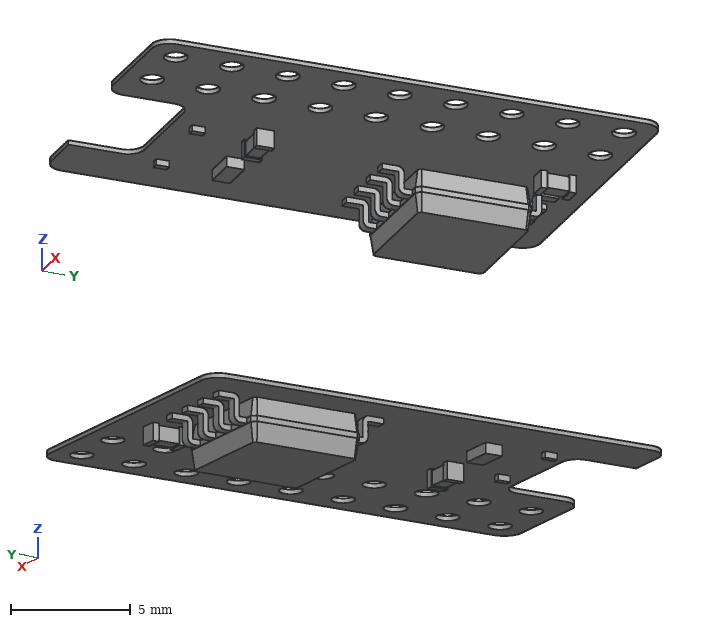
import cadquery as cq

board_width = 14.04
board_length = 22.85
board_thickness = 0.2
board_corner_radius = 0.8
underside_z = -board_thickness

short_leg_width = 2.63
short_leg_setback = 0.7
notch_width = 5.65
notch_depth = 3.85
notch_corner_radius = 0.73

hole_diameter = 1.0
hole_pitch = 2.54
hole_rows = 9
hole_columns = 2
hole_columns_centre_x = 4.48

chip_x = -3.2
chip_y = 6.08
chip_size = 5.25
chip_corner_chamfer = 0.2
chip_draft_angle = 8.0
chip_standoff = 0.14
chip_bottom_z = -2.3
band_top_z = -1.2

lead_thickness = 0.25
lead_width = 0.43
lead_pitch = hole_pitch / 2
leads_per_side = 4
lead_shank_reach = 3.25
lead_foot_reach = 4.0
lead_bend_radius = 0.6 / 2
lead_bend_inner_radius = lead_bend_radius - lead_thickness
band_bottom_z = band_top_z - lead_thickness
band_middle_z = (band_top_z + band_bottom_z) / 2

capacitor_length = 1.6
capacitor_width = 0.8
capacitor_end_cap_length = 0.3
capacitor_block_inset = 0.07
crosswise_capacitor_x = -0.53
lengthwise_capacitor_x = 0.48
lengthwise_capacitor_y = 9.25
component_row_y = -3.77

resistor_length = 1.55
resistor_width = 0.8
resistor_height = 0.48
resistor_x = -3.7

flat_chip_width = 0.3
flat_chip_length = 0.6
flat_chip_height = 0.27
flat_chip_y = -6.47
flat_chip_places_x = (-4.48, -0.65)


def hanging_box(size_x, size_y, height):
    """Box centred on the Z axis that hangs from the board's underside."""
    return cq.Workplane("XY").workplane(offset=underside_z).rect(size_x, size_y).extrude(-height)


def make_board():
    left = -board_width / 2
    right = board_width / 2
    bottom = -board_length / 2
    top = board_length / 2
    notch_left = left + short_leg_width
    notch_right = notch_left + notch_width
    notch_top = bottom + notch_depth
    short_leg_bottom = bottom + short_leg_setback

    outline = [
        (left, top),
        (left, short_leg_bottom),
        (notch_left, short_leg_bottom),
        (notch_left, notch_top),
        (notch_right, notch_top),
        (notch_right, bottom),
        (right, bottom),
        (right, top),
    ]
    plate = cq.Workplane("XY").polyline(outline).close().extrude(-board_thickness)

    outer_corners = [
        (left, top),
        (left, short_leg_bottom),
        (notch_right, bottom),
        (right, bottom),
        (right, top),
    ]
    notch_corners = [(notch_left, notch_top), (notch_right, notch_top)]
    for corners, radius in ((outer_corners, board_corner_radius), (notch_corners, notch_corner_radius)):
        for x, y in corners:
            edge = cq.selectors.NearestToPointSelector((x, y, -board_thickness / 2))
            plate = plate.edges("|Z").edges(edge).fillet(radius)

    holes = (
        cq.Workplane("XY")
        .center(hole_columns_centre_x, 0)
        .rarray(hole_pitch, hole_pitch, hole_columns, hole_rows)
        .circle(hole_diameter / 2)
        .extrude(-board_thickness)
    )
    return plate.cut(holes)


def chip_layer(start_z, height, draft=0):
    """Chamfered square layer of the package, from start_z over a signed height."""
    outline = cq.Sketch().rect(chip_size, chip_size).vertices().chamfer(chip_corner_chamfer)
    return cq.Workplane("XY").workplane(offset=start_z).placeSketch(outline).extrude(height, taper=draft)


def make_lead():
    """Lead on the +Y side, centred on x = 0: band level, shank, then foot on the board."""
    root = chip_size / 2 - chip_corner_chamfer
    foot_bottom_z = underside_z - lead_thickness
    shank_outer = lead_shank_reach
    shank_inner = shank_outer - lead_thickness
    profile = [
        (root, band_bottom_z),
        (shank_outer, band_bottom_z),
        (shank_outer, foot_bottom_z),
        (lead_foot_reach, foot_bottom_z),
        (lead_foot_reach, underside_z),
        (shank_inner, underside_z),
        (shank_inner, band_top_z),
        (root, band_top_z),
    ]
    lead = cq.Workplane("YZ").polyline(profile).close().extrude(lead_width / 2, both=True)
    outer_bends = [(shank_outer, band_bottom_z), (shank_inner, underside_z)]
    inner_bends = [(shank_outer, foot_bottom_z), (shank_inner, band_top_z)]
    for bends, radius in ((outer_bends, lead_bend_radius), (inner_bends, lead_bend_inner_radius)):
        for y, z in bends:
            edge = cq.selectors.NearestToPointSelector((0, y, z))
            lead = lead.edges("|X").edges(edge).fillet(radius)
    return lead


def make_chip():
    upper_height = underside_z - chip_standoff - band_middle_z
    lower_height = band_middle_z - chip_bottom_z
    chip = chip_layer(band_top_z, -lead_thickness)
    chip = chip.union(chip_layer(band_middle_z, upper_height, chip_draft_angle))
    chip = chip.union(chip_layer(band_middle_z, -lower_height, chip_draft_angle))
    for index in range(leads_per_side):
        lead_x = (index - (leads_per_side - 1) / 2) * lead_pitch
        for side_angle in (0, 180):
            lead = make_lead().translate((lead_x, 0, 0)).rotate((0, 0, 0), (0, 0, 1), side_angle)
            chip = chip.union(lead)
    return chip.translate((chip_x, chip_y, 0))


def make_capacitor():
    """Capacitor lying along X, centred on the Z axis."""
    block_width = capacitor_width - 2 * capacitor_block_inset
    end_cap_offset = (capacitor_length - capacitor_end_cap_length) / 2
    capacitor = hanging_box(capacitor_length - capacitor_end_cap_length, block_width, block_width)
    capacitor = capacitor.translate((0, 0, -capacitor_block_inset))
    for side in (-1, 1):
        end_cap = hanging_box(capacitor_end_cap_length, capacitor_width, capacitor_width)
        capacitor = capacitor.union(end_cap.translate((side * end_cap_offset, 0, 0)))
    return capacitor


def make_resistor():
    resistor = hanging_box(resistor_length, resistor_width, resistor_height)
    return resistor.translate((resistor_x, component_row_y, 0))


def make_flat_chip(x):
    flat_chip = hanging_box(flat_chip_width, flat_chip_length, flat_chip_height)
    return flat_chip.translate((x, flat_chip_y, 0))


board = make_board()
chip = make_chip()
crosswise_capacitor = make_capacitor().translate((crosswise_capacitor_x, component_row_y, 0))
lengthwise_capacitor = (
    make_capacitor()
    .rotate((0, 0, 0), (0, 0, 1), 90)
    .translate((lengthwise_capacitor_x, lengthwise_capacitor_y, 0))
)
resistor = make_resistor()
flat_chips = [make_flat_chip(x) for x in flat_chip_places_x]

result = cq.Compound.makeCompound(
    [
        board.val(),
        chip.val(),
        crosswise_capacitor.val(),
        lengthwise_capacitor.val(),
        resistor.val(),
        *[flat_chip.val() for flat_chip in flat_chips],
    ]
)